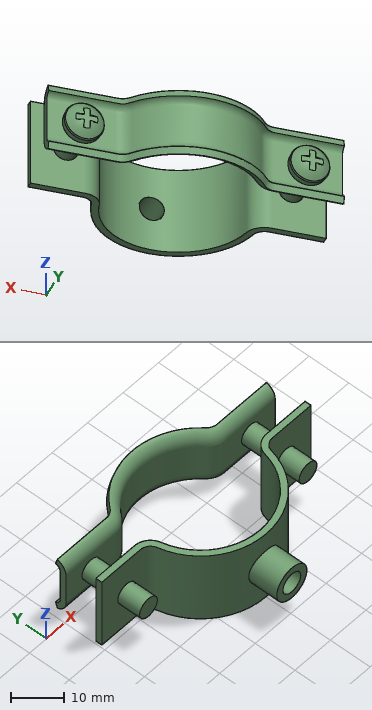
import cadquery as cq
import math

clamp_width = 59.0
bore_radius = 15.0
sheet = 1.5
half_width = clamp_width / 2

lower_height = 18.0
lower_flange_y = 0.0
lower_bend_radius = 4.0
boss_diameter = 8.5
boss_hole_diameter = 5.0
boss_end_y = -23.0

upper_flange_y = 7.5
upper_bend_radius = 5.0
upper_flat_height = 8.0
edge_roll_radius = 3.1
edge_roll_angle = math.radians(73.3)

screw_spacing = 45.0
shank_diameter = 5.0
shank_end_y = -7.0
head_base_radius = 3.9
head_rim_radius = 4.0
dome_base_radius = 3.85
rim_height = 1.3
dome_base_height = 1.65
head_height = 3.2
slot_width = 1.25
slot_floor_height = 2.75
seat_y = upper_flange_y + sheet
screw_xs = (-screw_spacing / 2, screw_spacing / 2)


def strap_path(flange_y, bend_radius, side):
    """Bore-side edge of a strap: flange, bend, arc around the bore, bend, flange.

    The strap crowns toward +Y when side is 1 and toward -Y when side is -1.
    Each bend is tangent to its flange and to the bore circle.
    """
    center_y = flange_y + side * bend_radius
    center_x = math.sqrt((bore_radius + bend_radius) ** 2 - center_y**2)
    to_bore = bore_radius / (bore_radius + bend_radius)
    tangent_x = center_x * to_bore
    tangent_y = center_y * to_bore
    half_sweep = math.atan2(center_x, side * center_y) / 2
    middle_x = center_x - bend_radius * math.sin(half_sweep)
    middle_y = center_y - side * bend_radius * math.cos(half_sweep)
    return (
        cq.Workplane("XY")
        .moveTo(-half_width, flange_y)
        .lineTo(-center_x, flange_y)
        .threePointArc((-middle_x, middle_y), (-tangent_x, tangent_y))
        .threePointArc((0, side * bore_radius), (tangent_x, tangent_y))
        .threePointArc((middle_x, middle_y), (center_x, flange_y))
        .lineTo(half_width, flange_y)
    )


def end_plane(flange_y):
    """Sketch plane at the -X end of a flange, with local x along Y and local y along Z."""
    return cq.Workplane("YZ", origin=(-half_width, flange_y, 0))


def drill_screw_holes(strap):
    """Cut the two screw holes through the flanges of a strap."""
    drills = (
        cq.Workplane("XZ")
        .pushPoints([(x, 0) for x in screw_xs])
        .circle(shank_diameter / 2)
        .extrude(clamp_width, both=True)
    )
    return strap.cut(drills)


def make_lower_strap():
    """Flat strip bent around the bore, with the bored boss joined to its crown."""
    section = end_plane(lower_flange_y).center(-sheet / 2, 0).rect(sheet, lower_height)
    strap = section.sweep(strap_path(lower_flange_y, lower_bend_radius, -1))
    strap = drill_screw_holes(strap)

    boss_root_y = -(bore_radius + sheet / 2)
    boss = (
        cq.Workplane("XZ", origin=(0, boss_root_y, 0))
        .circle(boss_diameter / 2)
        .extrude(boss_root_y - boss_end_y)
    )
    boss_hole = cq.Workplane("XZ").circle(boss_hole_diameter / 2).extrude(-boss_end_y)
    return strap.union(boss).cut(boss_hole)


def make_upper_strap():
    """Strip bent around the bore, with both long edges rolled outward."""
    flat = upper_flat_height / 2
    inner_roll = edge_roll_radius - sheet

    def roll_point(radius, angle, end):
        """Point on the rolled edge at the +Z (end 1) or -Z (end -1) side, angle 0 being the flat."""
        return (
            edge_roll_radius - radius * math.cos(angle),
            end * (flat + radius * math.sin(angle)),
        )

    tip = edge_roll_angle
    middle = tip / 2
    section = (
        end_plane(upper_flange_y)
        .moveTo(0, -flat)
        .lineTo(0, flat)
        .threePointArc(roll_point(edge_roll_radius, middle, 1), roll_point(edge_roll_radius, tip, 1))
        .lineTo(*roll_point(inner_roll, tip, 1))
        .threePointArc(roll_point(inner_roll, middle, 1), (sheet, flat))
        .lineTo(sheet, -flat)
        .threePointArc(roll_point(inner_roll, middle, -1), roll_point(inner_roll, tip, -1))
        .lineTo(*roll_point(edge_roll_radius, tip, -1))
        .threePointArc(roll_point(edge_roll_radius, middle, -1), (0, -flat))
        .close()
    )
    return drill_screw_holes(section.sweep(strap_path(upper_flange_y, upper_bend_radius, 1)))


def make_screw(x):
    """Round-headed screw along Y with a crossed slot, its head seated on the upper strap."""
    dome_rise = head_height - dome_base_height
    dome_radius = (dome_base_radius**2 + dome_rise**2) / (2 * dome_rise)
    dome_mid_radius = dome_base_radius / 2
    dome_mid_height = head_height - dome_radius + math.sqrt(dome_radius**2 - dome_mid_radius**2)
    screw = (
        cq.Workplane("XY", origin=(x, seat_y, 0))
        .moveTo(0, shank_end_y - seat_y)
        .lineTo(shank_diameter / 2, shank_end_y - seat_y)
        .lineTo(shank_diameter / 2, 0)
        .lineTo(head_base_radius, 0)
        .lineTo(head_rim_radius, rim_height)
        .lineTo(dome_base_radius, dome_base_height)
        .threePointArc((dome_mid_radius, dome_mid_height), (0, head_height))
        .close()
        .revolve(360, (0, 0, 0), (0, 1, 0))
    )
    slot_length = 2 * head_rim_radius
    slot_depth = head_height - slot_floor_height
    for size_x, size_z in ((slot_length, slot_width), (slot_width, slot_length)):
        slot = (
            cq.Workplane("XZ", origin=(x, seat_y + slot_floor_height, 0))
            .rect(size_x, size_z)
            .extrude(-slot_depth)
        )
        screw = screw.cut(slot)
    return screw


lower_strap = make_lower_strap()
upper_strap = make_upper_strap()
screws = [make_screw(x) for x in screw_xs]

result = cq.Compound.makeCompound(
    [lower_strap.val(), upper_strap.val(), *[screw.val() for screw in screws]]
)